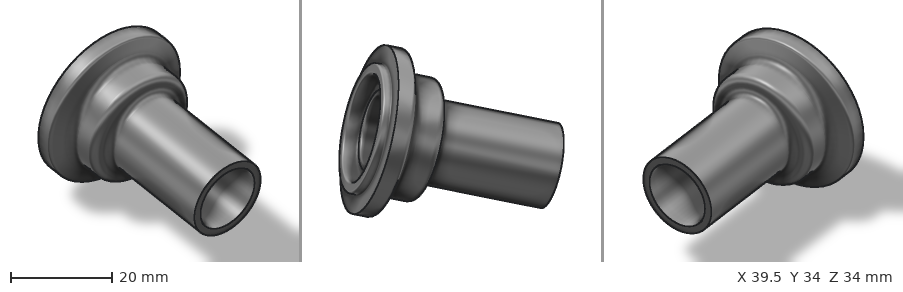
import cadquery as cq
import math

length = 39.5
tube_radius = 17.2 / 2
bore_radius = 14.0 / 2

lip_radius = 26.3 / 2
lip_height = 1.78
lip_edge_round = 0.55
lip_root_round = 0.4

flange_radius = 34.0 / 2
flange_rim_end = 4.7
flange_edge_round = 0.85
cone_angle = math.radians(20)

collar_radius = 25.0 / 2
collar_start = 8.37
collar_sweep_round = 2.0
collar_edge_round = 1.6
collar_round_start = 11.9
tube_root_round = 1.58

mouth_radius = 10.95
mouth_round = 0.55
channel_inner_radius = 8.2
channel_depth = 3.48
hub_recess = 2.37
hub_outer_round = 0.35
hub_bore_round = 0.55


def on_arc(center_x, center_r, radius, angle):
    """Point on a profile arc; the angle is measured from +X towards larger radius."""
    return (center_x + radius * math.cos(angle), center_r + radius * math.sin(angle))


def round_corner(profile, center_x, center_r, radius, start, end):
    """Add an arc about the given center, from the start angle to the end angle in degrees."""
    middle = on_arc(center_x, center_r, radius, math.radians((start + end) / 2))
    finish = on_arc(center_x, center_r, radius, math.radians(end))
    return profile.threePointArc(middle, finish)


def outer_profile():
    """Half section of the solid, without bore or channel."""
    cone_degrees = math.degrees(cone_angle)
    rim_center_r = flange_radius - flange_edge_round
    sweep_center_r = collar_radius + collar_sweep_round
    sweep_start = on_arc(collar_start, sweep_center_r, collar_sweep_round, math.pi + cone_angle)
    collar_end = collar_round_start + collar_edge_round

    p = cq.Workplane("XY").moveTo(0, 0).lineTo(0, lip_radius - lip_edge_round)
    p = round_corner(p, lip_edge_round, lip_radius - lip_edge_round, lip_edge_round, 180, 90)
    p = p.lineTo(lip_height - lip_root_round, lip_radius)
    p = round_corner(p, lip_height - lip_root_round, lip_radius + lip_root_round, lip_root_round, -90, 0)
    p = p.lineTo(lip_height, flange_radius).lineTo(flange_rim_end, flange_radius)
    p = round_corner(p, flange_rim_end, rim_center_r, flange_edge_round, 90, cone_degrees)
    p = p.lineTo(*sweep_start)
    p = round_corner(p, collar_start, sweep_center_r, collar_sweep_round, 180 + cone_degrees, 270)
    p = p.lineTo(collar_round_start, collar_radius)
    p = round_corner(p, collar_round_start, collar_radius - collar_edge_round, collar_edge_round, 90, 0)
    p = p.lineTo(collar_end, tube_radius + tube_root_round)
    p = round_corner(p, collar_end + tube_root_round, tube_radius + tube_root_round, tube_root_round, 180, 270)
    return p.lineTo(length, tube_radius).lineTo(length, 0).close()


def cavity_profile():
    """Half section of the bore, the hub recess and the channel."""
    channel_floor = (channel_depth, (mouth_radius + channel_inner_radius) / 2)
    hub_edge = (hub_recess + hub_outer_round, channel_inner_radius)
    hub_outer_center_r = channel_inner_radius - hub_outer_round
    hub_bore_center_r = bore_radius + hub_bore_round

    p = cq.Workplane("XY").moveTo(0, 0).lineTo(0, mouth_radius + mouth_round)
    p = round_corner(p, mouth_round, mouth_radius + mouth_round, mouth_round, 180, 270)
    p = p.spline([channel_floor, hub_edge], tangents=[(1, 0), (-1, 0)], includeCurrent=True)
    p = round_corner(p, hub_recess + hub_outer_round, hub_outer_center_r, hub_outer_round, 90, 180)
    p = p.lineTo(hub_recess, hub_bore_center_r)
    p = round_corner(p, hub_recess + hub_bore_round, hub_bore_center_r, hub_bore_round, 180, 270)
    return p.lineTo(length, bore_radius).lineTo(length, 0).close()


def revolve(profile):
    return profile.revolve(360, (0, 0, 0), (1, 0, 0))


result = revolve(outer_profile()).cut(revolve(cavity_profile()))